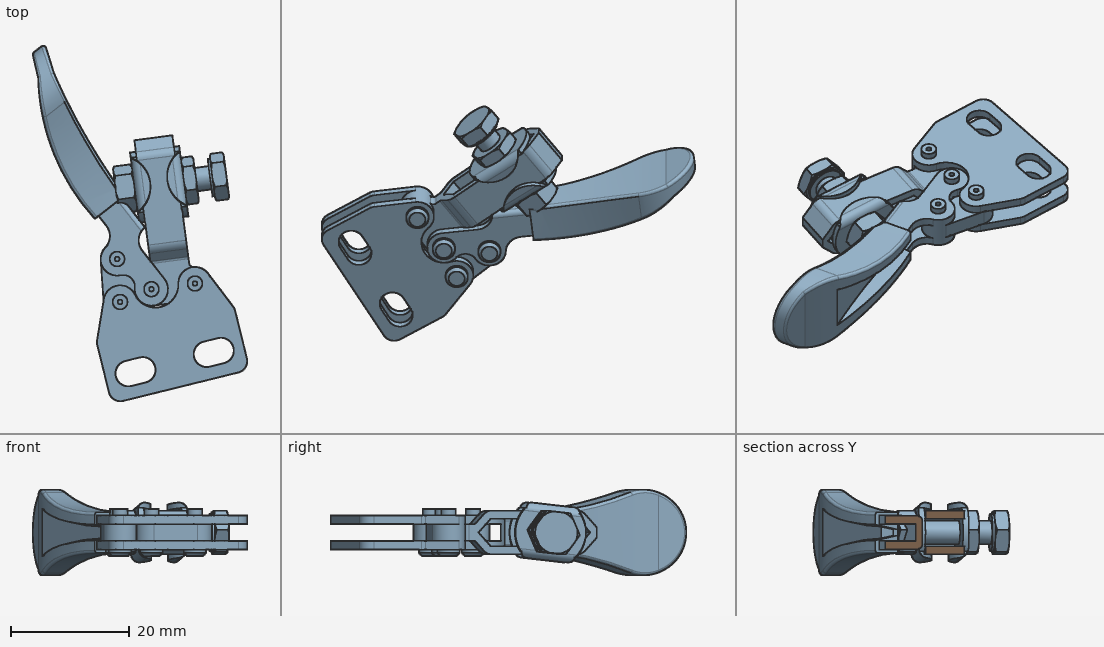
import cadquery as cq
import math


SHEET = 1.5
GAP_HALF = 1.4
OUTER_HALF = GAP_HALF + SHEET
LUG_RADIUS = 2.8

BASE_ANGLE = 13.86
BASE_PITCH = 13.0
PIVOT_BASE_LEFT = (0.0, 0.0)
PIVOT_BASE_RIGHT = (
    BASE_PITCH * math.cos(math.radians(BASE_ANGLE)),
    BASE_PITCH * math.sin(math.radians(BASE_ANGLE)),
)
PIVOT_HANDLE = (-0.5, 7.24)
PIVOT_ARM = (5.28, 2.15)
PIVOTS = (PIVOT_BASE_LEFT, PIVOT_BASE_RIGHT, PIVOT_HANDLE, PIVOT_ARM)

RIVET_TOP = 4.0
RIVET_TOP_RADIUS = 1.25
RIVET_BOTTOM_RADIUS = 1.9
RIVET_CHAMFER = 0.55
RIVET_DIMPLE_RADIUS = 0.4
RIVET_DIMPLE_DEPTH = 0.8

BASE_MIDDLE = BASE_PITCH / 2
BASE_HALF_WIDTH = 12.0
BASE_BOTTOM = -16.35
BASE_SHOULDER = -5.7
BASE_CORNER_RADIUS = 2.0
BASE_SHOULDER_RADIUS = 2.0
BASE_RECESS_RADIUS = 3.85
SLOT_PITCH = 13.6
SLOT_Y = -12.05
SLOT_WIDTH = 4.3
SLOT_LENGTH = 6.8

HANDLE_ANGLE = 128.0
PLATE_LEFT = -2.0
WEB_OUTER = -7.0
WEB_START = 1.3
WEB_THICKNESS = 0.9
WEB_BEND_RADIUS = 0.9
NECK_RADIUS = 2.8
LUG_FILLET = 2.0
PLATE_END = 10.0

GRIP_START = 7.65
GRIP_END_HALF = 3.45
GRIP_HEAD_X = 28.9
GRIP_HEAD_RADIUS = 7.25
GRIP_OUTER_START = -1.2
GRIP_OUTER_MIDDLE = (21.28, -2.72)
GRIP_OUTER_BEND = (32.3, -8.3)
GRIP_OUTER_TIP = (36.4, -10.2)
GRIP_INNER_START = -7.55
GRIP_INNER_MIDDLE = (20.4, -8.7)
GRIP_INNER_BEND = (31.2, -10.9)
GRIP_INNER_TIP = (36.4, -12.85)
GRIP_EDGE_FILLET = 0.5
LEG_WIDTH = 1.9
POCKET_DRAFT = 10.0
POCKET_START = 8.75
POCKET_END = 26.9
POCKET_FLOOR_START = -3.3
POCKET_FLOOR_END = -5.0

ARM_SPAN = math.dist(PIVOT_ARM, PIVOT_BASE_RIGHT)
ARM_ANGLE = math.degrees(
    math.atan2(PIVOT_BASE_RIGHT[1] - PIVOT_ARM[1], PIVOT_BASE_RIGHT[0] - PIVOT_ARM[0])
)
ARM_LEFT = 0.4
ARM_RIGHT = 6.9
ARM_HALF = 3.7
ARM_SLOPE = 48.0
ARM_BEND_START = 4.55
ARM_NOSE_CORNER = 22.75
ARM_NOSE_END = 25.3
ARM_BEND_RADIUS = 1.95
ARM_INNER_BEND_RADIUS = 0.5
ARM_ROOT_FILLET = 0.7
ARM_ROOT_OVERLAP = 1.0

SPINDLE_Y = 17.35
SPINDLE_RADIUS = 2.0
SPINDLE_TURN = 6.5
WASHER_RADIUS = 6.0
WASHER_THICKNESS = 1.0
WASHER_LEFT = -0.6
WASHER_RIGHT = 7.8
WASHER_BEND_RADIUS = 1.45
EAR_RADIUS = 5.3
EAR_REACH = 2.75
HEX_FLATS = 7.0
HEX_CHAMFER = (0.25, 0.45)
NUT_HEIGHT = 3.2
JAM_NUT_HEIGHT = 2.1
HEAD_START = 12.65
HEAD_HEIGHT = 2.4
HEAD_COLLAR = 0.4
HEAD_COLLAR_RADIUS = 3.2

PICK_MARGIN = 0.1


def on_circle(center, radius, degrees):
    angle = math.radians(degrees)
    return (center[0] + radius * math.cos(angle), center[1] + radius * math.sin(angle))


def direction(start, end):
    """Angle in degrees of the line from start to end."""
    return math.degrees(math.atan2(end[1] - start[1], end[0] - start[0]))


def place(solid, degrees, pivot):
    """Turn a solid from its own frame about Z and move its origin to a pivot."""
    return solid.rotate((0, 0, 0), (0, 0, 1), degrees).translate((pivot[0], pivot[1], 0))


def in_frame(point, degrees, pivot):
    """Coordinates of a point in the frame that place() moves to the pivot."""
    turn = math.radians(degrees)
    dx = point[0] - pivot[0]
    dy = point[1] - pivot[1]
    return (dx * math.cos(turn) + dy * math.sin(turn), dy * math.cos(turn) - dx * math.sin(turn))


def both_plates(outline):
    """Two outer sheets of the same outline, one on each side of the gap."""
    plate = outline.extrude(SHEET).translate((0, 0, GAP_HALF))
    return plate.union(plate.mirror("XY"))


def box_between(low, high):
    size = [b - a for a, b in zip(low, high)]
    return cq.Workplane("XY").box(*size, centered=False).translate(low)


def make_base():
    left = BASE_MIDDLE - BASE_HALF_WIDTH
    right = BASE_MIDDLE + BASE_HALF_WIDTH
    lug_left = (0.0, 0.0)
    lug_right = (BASE_PITCH, 0.0)
    reach = LUG_RADIUS + BASE_RECESS_RADIUS
    recess = (BASE_MIDDLE, math.sqrt(reach**2 - BASE_MIDDLE**2))
    recess_turn = direction(lug_left, recess)
    shoulder = (left, BASE_SHOULDER)
    touch = direction(lug_left, shoulder) + 360 - math.degrees(
        math.acos(LUG_RADIUS / math.hypot(*shoulder))
    )
    lug_top = (touch + recess_turn) / 2
    outline = (
        cq.Workplane("XY")
        .moveTo(left, BASE_BOTTOM)
        .lineTo(right, BASE_BOTTOM)
        .lineTo(right, BASE_SHOULDER)
        .lineTo(*on_circle(lug_right, LUG_RADIUS, 180 - touch))
        .threePointArc(
            on_circle(lug_right, LUG_RADIUS, 180 - lug_top),
            on_circle(lug_right, LUG_RADIUS, 180 - recess_turn),
        )
        .threePointArc(
            on_circle(recess, BASE_RECESS_RADIUS, -90),
            on_circle(lug_left, LUG_RADIUS, recess_turn),
        )
        .threePointArc(
            on_circle(lug_left, LUG_RADIUS, lug_top),
            on_circle(lug_left, LUG_RADIUS, touch),
        )
        .lineTo(left, BASE_SHOULDER)
        .close()
    )
    plates = both_plates(outline)
    plates = plates.edges("|Z and (<XY or >(1,-1,0))").fillet(BASE_CORNER_RADIUS)
    shoulders = cq.selectors.BoxSelector(
        (left - PICK_MARGIN, BASE_SHOULDER - PICK_MARGIN, -OUTER_HALF),
        (right + PICK_MARGIN, BASE_SHOULDER + PICK_MARGIN, OUTER_HALF),
    )
    plates = plates.edges(shoulders).fillet(BASE_SHOULDER_RADIUS)
    slots = (
        cq.Workplane("XY", origin=(BASE_MIDDLE, SLOT_Y, -OUTER_HALF))
        .pushPoints([(-SLOT_PITCH / 2, 0), (SLOT_PITCH / 2, 0)])
        .slot2D(SLOT_LENGTH, SLOT_WIDTH)
        .extrude(2 * OUTER_HALF)
    )
    return place(plates.cut(slots), BASE_ANGLE, PIVOT_BASE_LEFT)


def make_link():
    """Inner link between the handle rivet and the left base rivet."""
    span = math.dist(PIVOT_BASE_LEFT, PIVOT_HANDLE)
    link = (
        cq.Workplane("XY", origin=(span / 2, 0, -GAP_HALF))
        .slot2D(span + 2 * LUG_RADIUS, 2 * LUG_RADIUS)
        .extrude(2 * GAP_HALF)
    )
    return place(link, direction(PIVOT_BASE_LEFT, PIVOT_HANDLE), PIVOT_BASE_LEFT)


def make_handle_plates():
    """Channel of two plates joined by a web, with lugs for the handle and arm rivets."""
    lug = (0.0, 0.0)
    arm_lug = in_frame(PIVOT_ARM, HANDLE_ANGLE, PIVOT_HANDLE)
    neck_y = PLATE_LEFT + NECK_RADIUS
    neck = (math.sqrt((LUG_RADIUS + NECK_RADIUS) ** 2 - neck_y**2), neck_y)
    neck_turn = direction(lug, neck)
    lug_turn = direction(lug, arm_lug)
    half_span = math.hypot(*arm_lug) / 2
    opening = math.degrees(math.acos(half_span / (LUG_RADIUS + LUG_FILLET)))
    fillet = on_circle(lug, LUG_RADIUS + LUG_FILLET, lug_turn - opening)
    arm_side = arm_lug[1] - LUG_RADIUS
    notch_radius = arm_side - WEB_OUTER
    notch = (WEB_START - notch_radius, WEB_OUTER)
    outline = (
        cq.Workplane("XY")
        .moveTo(PLATE_END, PLATE_LEFT)
        .lineTo(neck[0], PLATE_LEFT)
        .threePointArc(
            on_circle(neck, NECK_RADIUS, 225),
            on_circle(lug, LUG_RADIUS, neck_turn),
        )
        .threePointArc(
            on_circle(lug, LUG_RADIUS, 90),
            on_circle(lug, LUG_RADIUS, lug_turn - opening),
        )
        .threePointArc(
            on_circle(fillet, LUG_FILLET, lug_turn + 90),
            on_circle(arm_lug, LUG_RADIUS, lug_turn + 180 + opening),
        )
        .threePointArc(
            on_circle(arm_lug, LUG_RADIUS, 180),
            on_circle(arm_lug, LUG_RADIUS, 270),
        )
        .lineTo(notch[0], arm_side)
        .threePointArc(on_circle(notch, notch_radius, 45), on_circle(notch, notch_radius, 0))
        .lineTo(PLATE_END, WEB_OUTER)
        .close()
    )
    channel = outline.extrude(2 * OUTER_HALF).translate((0, 0, -OUTER_HALF))
    channel = channel.edges("|X and <Y").fillet(WEB_BEND_RADIUS)
    opening_box = box_between(
        (arm_lug[0] - 2 * LUG_RADIUS, WEB_OUTER + WEB_THICKNESS, -GAP_HALF),
        (PLATE_END, 2 * LUG_RADIUS, GAP_HALF),
    )
    return channel.cut(opening_box)


def make_grip():
    """Grip body, with the centre and radius of the arc along its upper side."""
    profile = (
        cq.Workplane("XY")
        .moveTo(GRIP_START, GRIP_OUTER_START)
        .threePointArc(GRIP_OUTER_MIDDLE, GRIP_OUTER_BEND)
        .lineTo(*GRIP_OUTER_TIP)
        .lineTo(*GRIP_INNER_TIP)
        .lineTo(*GRIP_INNER_BEND)
        .threePointArc(GRIP_INNER_MIDDLE, (GRIP_START, GRIP_INNER_START))
        .close()
        .extrude(2 * GRIP_HEAD_RADIUS)
        .translate((0, 0, -GRIP_HEAD_RADIUS))
    )
    head_offset = GRIP_HEAD_X - GRIP_START
    head_drop = GRIP_HEAD_RADIUS - GRIP_END_HALF
    side_radius = (head_offset**2 - head_drop * (GRIP_HEAD_RADIUS + GRIP_END_HALF)) / (2 * head_drop)
    side_center = (GRIP_START, GRIP_END_HALF + side_radius)
    head = (GRIP_HEAD_X, 0.0)
    meet_turn = direction(head, side_center)
    side_turn = meet_turn - 180
    side_middle = on_circle(side_center, side_radius, (side_turn - 90) / 2)
    side_end = on_circle(head, GRIP_HEAD_RADIUS, meet_turn)
    outline = (
        cq.Workplane("XZ")
        .moveTo(GRIP_START, -GRIP_END_HALF)
        .lineTo(GRIP_START, GRIP_END_HALF)
        .threePointArc(side_middle, side_end)
        .threePointArc((GRIP_HEAD_X + GRIP_HEAD_RADIUS, 0), (side_end[0], -side_end[1]))
        .threePointArc((side_middle[0], -side_middle[1]), (GRIP_START, -GRIP_END_HALF))
        .close()
        .extrude(abs(GRIP_INNER_TIP[1]))
    )
    grip = profile.intersect(outline)
    grip = grip.edges("not (|Z or |Y or <X)").fillet(GRIP_EDGE_FILLET)
    return grip, side_center, side_radius


def make_pocket(side_center, side_radius):
    """Recess with drafted walls between the two legs of the grip, with a flat sloping floor."""
    wall_radius = side_radius + LEG_WIDTH

    def wall(x):
        return side_center[1] - math.sqrt(wall_radius**2 - (x - side_center[0]) ** 2)

    floor_shift = abs(POCKET_FLOOR_END) * math.tan(math.radians(POCKET_DRAFT))
    start = GRIP_START - floor_shift
    end = POCKET_END + floor_shift
    middle = (start + end) / 2
    plan = (
        cq.Workplane("XZ")
        .moveTo(start, -wall(start))
        .lineTo(start, wall(start))
        .threePointArc((middle, wall(middle)), (end, wall(end)))
        .lineTo(end, -wall(end))
        .threePointArc((middle, -wall(middle)), (start, -wall(start)))
        .close()
        .extrude(abs(WEB_OUTER), taper=POCKET_DRAFT)
    )
    web_inner = WEB_OUTER + WEB_THICKNESS
    side = (
        cq.Workplane("XY")
        .moveTo(GRIP_START, web_inner)
        .lineTo(POCKET_START, web_inner)
        .lineTo(POCKET_START, POCKET_FLOOR_START)
        .lineTo(POCKET_END, POCKET_FLOOR_END)
        .lineTo(POCKET_END, 0)
        .lineTo(GRIP_START, 0)
        .close()
        .extrude(2 * GRIP_HEAD_RADIUS)
        .translate((0, 0, -GRIP_HEAD_RADIUS))
    )
    return plan.intersect(side)


def make_handle():
    grip, side_center, side_radius = make_grip()
    grip = grip.cut(make_pocket(side_center, side_radius))
    handle = make_handle_plates().union(grip)
    return place(handle, HANDLE_ANGLE, PIVOT_HANDLE)


def make_arm_core():
    """Flat root of the arm around its two rivets, up to the first bend."""
    lug = (ARM_SPAN, 0.0)
    fillet_x = ARM_RIGHT + ARM_ROOT_FILLET
    fillet_reach = LUG_RADIUS + ARM_ROOT_FILLET
    fillet = (fillet_x, math.sqrt(fillet_reach**2 - (fillet_x - ARM_SPAN) ** 2))
    fillet_turn = direction(lug, fillet)
    return (
        cq.Workplane("XY")
        .moveTo(0, -LUG_RADIUS)
        .lineTo(ARM_SPAN, -LUG_RADIUS)
        .threePointArc(
            on_circle(lug, LUG_RADIUS, 0),
            on_circle(lug, LUG_RADIUS, fillet_turn),
        )
        .threePointArc(
            on_circle(fillet, ARM_ROOT_FILLET, (fillet_turn + 360) / 2),
            (ARM_RIGHT, fillet[1]),
        )
        .lineTo(ARM_RIGHT, ARM_BEND_START)
        .lineTo(ARM_LEFT, ARM_BEND_START)
        .lineTo(ARM_LEFT, math.sqrt(LUG_RADIUS**2 - ARM_LEFT**2))
        .threePointArc((-LUG_RADIUS, 0), (0, -LUG_RADIUS))
        .close()
        .extrude(2 * GAP_HALF)
        .translate((0, 0, -GAP_HALF))
    )


def make_arm_bar():
    """The two halves of the arm spread apart around the spindle and close again at the nose."""
    slope = math.tan(math.radians(ARM_SLOPE))
    spread_corner = ARM_BEND_START + (ARM_HALF - GAP_HALF) / slope
    nose_half = ARM_HALF - (ARM_NOSE_END - ARM_NOSE_CORNER) * slope
    upper = [
        (ARM_BEND_START - ARM_ROOT_OVERLAP, GAP_HALF),
        (ARM_BEND_START, GAP_HALF),
        (spread_corner, ARM_HALF),
        (ARM_NOSE_CORNER, ARM_HALF),
        (ARM_NOSE_END, nose_half),
    ]
    lower = [(y, -z) for y, z in reversed(upper)]
    width = ARM_RIGHT - ARM_LEFT
    plane = cq.Workplane("YZ", origin=(ARM_LEFT, 0, 0))
    bar = plane.polyline(upper + lower).close().extrude(width)
    bar = bar.edges("|X and (>Z or <Z)").fillet(ARM_BEND_RADIUS)
    root_bends = cq.selectors.BoxSelector(
        (ARM_LEFT, ARM_BEND_START - PICK_MARGIN, -OUTER_HALF),
        (ARM_RIGHT, ARM_BEND_START + PICK_MARGIN, OUTER_HALF),
    )
    bar = bar.edges(root_bends).fillet(ARM_INNER_BEND_RADIUS)
    cavity_half = ARM_HALF - GAP_HALF
    corner_shift = GAP_HALF * math.tan(math.radians(ARM_SLOPE / 2))
    low = spread_corner + corner_shift
    high = ARM_NOSE_CORNER - corner_shift
    taper = cavity_half / slope
    cavity_outline = [
        (low - taper, 0),
        (low, cavity_half),
        (high, cavity_half),
        (high + taper, 0),
        (high, -cavity_half),
        (low, -cavity_half),
    ]
    cavity = plane.polyline(cavity_outline).close().extrude(width)
    return bar.cut(cavity)


def make_right_washer():
    """Round washer bent into a channel, its two ears lying on the flat faces of the arm."""
    top = ARM_HALF + WASHER_THICKNESS
    ear_tip = WASHER_RIGHT - EAR_REACH
    low_y = SPINDLE_Y - WASHER_RADIUS
    high_y = SPINDLE_Y + WASHER_RADIUS
    channel = box_between((ear_tip, low_y, -top), (WASHER_RIGHT, high_y, top))
    channel = channel.edges("|Y and >X").fillet(WASHER_BEND_RADIUS)
    inside = box_between(
        (ear_tip, low_y, -ARM_HALF),
        (WASHER_RIGHT - WASHER_THICKNESS, high_y, ARM_HALF),
    )
    channel = channel.cut(inside)
    disc = cq.Workplane("YZ", origin=(ear_tip, SPINDLE_Y, 0)).circle(WASHER_RADIUS).extrude(EAR_REACH)
    ears = (
        cq.Workplane("XY", origin=(ear_tip + EAR_RADIUS, SPINDLE_Y, -top))
        .circle(EAR_RADIUS)
        .extrude(2 * top)
    )
    middle = box_between((ear_tip, low_y, -ARM_HALF), (WASHER_RIGHT, high_y, ARM_HALF))
    web = channel.intersect(middle).intersect(disc)
    return web.union(channel.cut(middle).intersect(ears))


def make_hex(start, height):
    """Hexagon along the spindle with both ends chamfered."""
    across_corners = HEX_FLATS / math.cos(math.radians(30))
    plane = cq.Workplane("YZ", origin=(start, SPINDLE_Y, 0))
    hexagon = plane.polygon(6, across_corners).extrude(height)
    turned = plane.circle(across_corners / 2).extrude(height).edges().chamfer(*HEX_CHAMFER)
    return hexagon.intersect(turned)


def make_spindle():
    """Hexagon-head bolt with its collar, jam nut and end nut."""
    shaft_start = WASHER_LEFT - NUT_HEIGHT
    shaft = (
        cq.Workplane("YZ", origin=(shaft_start, SPINDLE_Y, 0))
        .circle(SPINDLE_RADIUS)
        .extrude(HEAD_START - shaft_start)
    )
    collar = (
        cq.Workplane("YZ", origin=(HEAD_START - HEAD_COLLAR, SPINDLE_Y, 0))
        .circle(HEAD_COLLAR_RADIUS)
        .extrude(HEAD_COLLAR)
    )
    return (
        shaft.union(collar)
        .union(make_hex(HEAD_START, HEAD_HEIGHT))
        .union(make_hex(WASHER_RIGHT, JAM_NUT_HEIGHT))
        .union(make_hex(shaft_start, NUT_HEIGHT))
    )


def make_arm():
    middle = (WASHER_LEFT + WASHER_RIGHT) / 2
    right_washer = make_right_washer()
    left_washer = right_washer.mirror("YZ", (middle, 0, 0))
    spindle = make_spindle().union(right_washer).union(left_washer)
    spindle = spindle.rotate((0, SPINDLE_Y, 0), (1, SPINDLE_Y, 0), -SPINDLE_TURN)
    arm = make_arm_core().union(make_arm_bar()).union(spindle)
    return place(arm, ARM_ANGLE, PIVOT_ARM)


def make_rivet(pivot):
    """Rivet with a chamfered bottom head and a dimple in its top end."""
    bottom = (
        cq.Workplane("XY", origin=(*pivot, -RIVET_TOP))
        .circle(RIVET_BOTTOM_RADIUS)
        .extrude(RIVET_TOP - OUTER_HALF)
        .faces("<Z")
        .edges()
        .chamfer(RIVET_CHAMFER)
    )
    shank = (
        cq.Workplane("XY", origin=(*pivot, -OUTER_HALF))
        .circle(RIVET_TOP_RADIUS)
        .extrude(RIVET_TOP + OUTER_HALF)
    )
    dimple = (
        cq.Workplane("XY", origin=(*pivot, RIVET_TOP - RIVET_DIMPLE_DEPTH))
        .circle(RIVET_DIMPLE_RADIUS)
        .extrude(RIVET_DIMPLE_DEPTH)
    )
    return bottom.union(shank).cut(dimple)


clamp = make_base().union(make_link()).union(make_handle()).union(make_arm())
for rivet_pivot in PIVOTS:
    clamp = clamp.union(make_rivet(rivet_pivot))

result = clamp